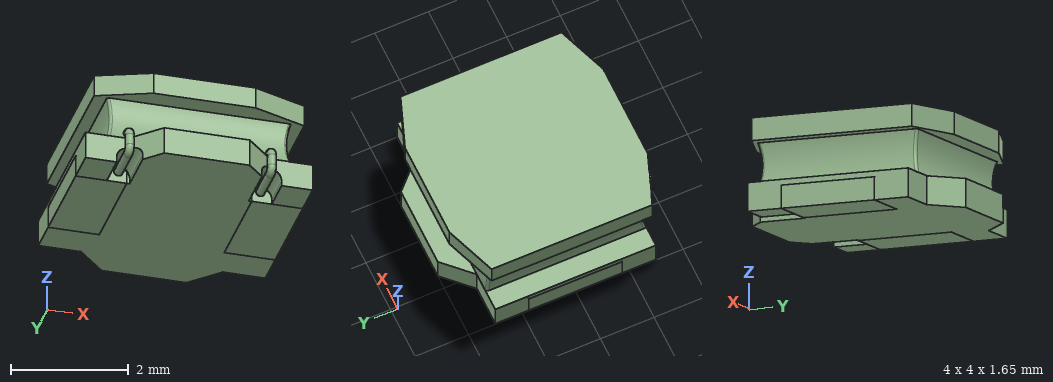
import cadquery as cq


overall_width = 4.0
overall_height = 1.65
base_height = 0.5
flange_height = 0.4
side_length = 3.0
flange_width = 3.7
tab_end_length = 1.5
post_diameter = 2.0

base_half = overall_width / 2
side_half = side_length / 2
flange_half = flange_width / 2
flange_bottom = overall_height - flange_height
tab_end_half = tab_end_length / 2
tab_root_half = tab_end_half + base_half - side_half
flange_end_half = tab_end_half + base_half - flange_half

coil_length = 3.24
coil_side_sag = 0.055
coil_corner_radius = 0.05
coil_height = flange_bottom - base_height

lead_diameter = 0.15
lead_bend_radius = 0.1
lead_x = tab_root_half
groove_radius = 0.2
groove_height = 0.3
lead_inner_length = 0.2

terminal_length = 1.745
terminal_width = 0.9
terminal_height = 0.4
terminal_half = terminal_length / 2

ENDS = (-1, 1)


def make_terminal(end):
    """Rectangular block at the -X (end = -1) or +X (end = 1) end of the base."""
    centre_x = end * (base_half - terminal_width / 2)
    return (
        cq.Workplane("XY")
        .center(centre_x, 0)
        .rect(terminal_width, terminal_length)
        .extrude(terminal_height)
    )


def make_lead(end):
    """Round wire that leaves the coil, turns down and turns back in to meet a terminal."""
    x = end * lead_x
    bend_start_y = -side_half
    upright_y = bend_start_y - lead_bend_radius
    upright_top = base_height
    upright_bottom = groove_height
    upper_z = upright_top + lead_bend_radius
    lower_z = upright_bottom - lead_bend_radius
    inner_end_y = bend_start_y + lead_inner_length
    bend_offset = lead_bend_radius * 0.5 ** 0.5

    path = (
        cq.Workplane("YZ", origin=(x, 0, 0))
        .moveTo(inner_end_y, upper_z)
        .lineTo(bend_start_y, upper_z)
        .threePointArc(
            (bend_start_y - bend_offset, upright_top + bend_offset),
            (upright_y, upright_top),
        )
        .lineTo(upright_y, upright_bottom)
        .threePointArc(
            (bend_start_y - bend_offset, upright_bottom - bend_offset),
            (bend_start_y, lower_z),
        )
        .lineTo(-terminal_half, lower_z)
    )
    section = cq.Workplane("XZ", origin=(x, inner_end_y, upper_z)).circle(lead_diameter / 2)
    return section.sweep(path)


def make_groove(end):
    """Arch-topped cutter that runs from the front of the base to a terminal."""
    spring_height = groove_height - groove_radius
    return (
        cq.Workplane("XZ", origin=(end * lead_x, -terminal_half, 0))
        .moveTo(-groove_radius, 0)
        .lineTo(-groove_radius, spring_height)
        .threePointArc((0, groove_height), (groove_radius, spring_height))
        .lineTo(groove_radius, 0)
        .close()
        .extrude(base_half - terminal_half)
    )


def make_base():
    """Lower flange: a rectangle with a tapered tab on its front and on its back."""
    right_half = [
        (tab_end_half, -base_half),
        (tab_root_half, -side_half),
        (base_half, -side_half),
        (base_half, side_half),
        (tab_root_half, side_half),
        (tab_end_half, base_half),
    ]
    left_half = [(-x, y) for x, y in reversed(right_half)]
    return cq.Workplane("XY").polyline(right_half + left_half).close().extrude(base_height)


def make_flange():
    """Upper flange: an eight-sided plate."""
    right_half = [
        (flange_end_half, -flange_half),
        (flange_half, -side_half),
        (flange_half, side_half),
        (flange_end_half, flange_half),
    ]
    left_half = [(-x, y) for x, y in reversed(right_half)]
    return (
        cq.Workplane("XY", origin=(0, 0, flange_bottom))
        .polyline(right_half + left_half)
        .close()
        .extrude(flange_height)
    )


def make_post():
    return (
        cq.Workplane("XY", origin=(0, 0, base_height))
        .circle(post_diameter / 2)
        .extrude(coil_height)
    )


def make_waisted_bar(plane, width, length):
    """Bar of coil height whose two sides, width apart, curve inward."""
    half = width / 2
    waist_half = half - coil_side_sag
    middle_z = base_height + coil_height / 2
    return (
        cq.Workplane(plane)
        .moveTo(-half, base_height)
        .lineTo(half, base_height)
        .threePointArc((waist_half, middle_z), (half, flange_bottom))
        .lineTo(-half, flange_bottom)
        .threePointArc((-waist_half, middle_z), (-half, base_height))
        .close()
        .extrude(length / 2, both=True)
    )


def make_winding():
    """Coil block, waisted on all four sides, with rounded corners and a hole for the post."""
    block = make_waisted_bar("XZ", coil_length, side_length)
    block = block.intersect(make_waisted_bar("YZ", side_length, coil_length))
    corners = block.edges("not(#Z)").edges("not(|X or |Y)")
    return corners.fillet(coil_corner_radius).cut(make_post())


terminals = [make_terminal(end) for end in ENDS]
leads = [make_lead(end) for end in ENDS]

coil = make_winding()
for lead in leads:
    coil = coil.union(lead)

core = make_base().union(make_post()).union(make_flange())
for end in ENDS:
    core = core.cut(make_groove(end))
for fitted_body in terminals + leads:
    core = core.cut(fitted_body)

result = cq.Compound.makeCompound(
    [core.solids().val(), coil.solids().val()] + [terminal.solids().val() for terminal in terminals]
)